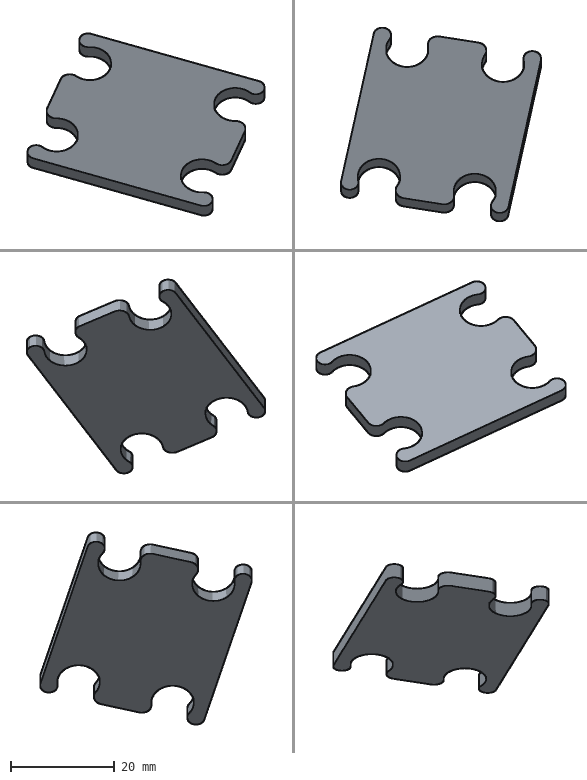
import cadquery as cq
import math

length = 38.0
width = 33.0
thickness = 3.0

notch_radius = 4.1
notch_x = 14.97
tip_radius = 1.7
shoulder_radius = 1.9

half_length = length / 2
half_width = width / 2


def tangent_rise(lobe_radius, lobe_x):
    """Y distance between a notch centre and the centre of a lobe touching it."""
    return math.sqrt((notch_radius + lobe_radius) ** 2 - (lobe_x - notch_x) ** 2)


def touching_point(lobe_x, lobe_y, lobe_radius):
    """Point where a lobe meets the notch circle."""
    share = notch_radius / (notch_radius + lobe_radius)
    return (notch_x + share * (lobe_x - notch_x), notch_y + share * (lobe_y - notch_y))


tip_x = half_length - tip_radius
tip_y = half_width - tip_radius
notch_y = tip_y - tangent_rise(tip_radius, tip_x)
shoulder_x = half_length - shoulder_radius
shoulder_y = notch_y - tangent_rise(shoulder_radius, shoulder_x)

quarter = (
    cq.Workplane("XY")
    .moveTo(0, 0)
    .lineTo(0, half_width)
    .lineTo(tip_x, half_width)
    .threePointArc((half_length, tip_y), touching_point(tip_x, tip_y, tip_radius))
    .threePointArc(
        (notch_x - notch_radius, notch_y),
        touching_point(shoulder_x, shoulder_y, shoulder_radius),
    )
    .threePointArc((shoulder_x, shoulder_y + shoulder_radius), (half_length, shoulder_y))
    .lineTo(half_length, 0)
    .close()
    .extrude(thickness)
)

half = quarter.union(quarter.mirror("YZ"))
result = half.union(half.mirror("XZ")).clean()